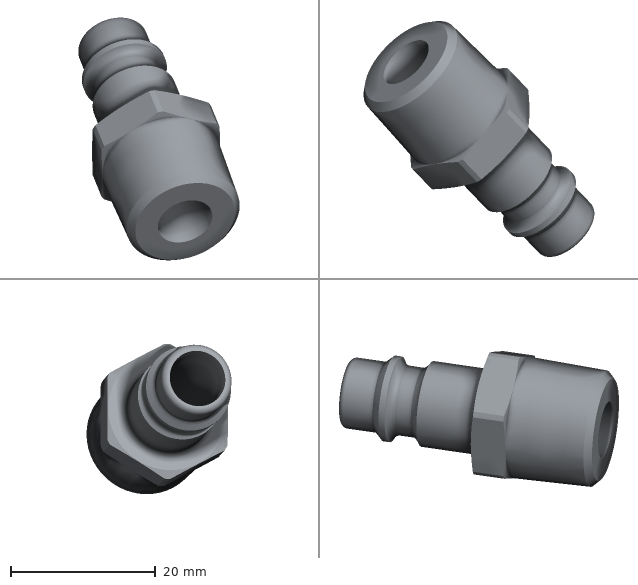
import cadquery as cq
import math

length = 37.0
bore_diameter = 7.85

tip_diameter = 9.9
tip_fillet = 0.8
tip_end = 5.0
collar_diameter = 12.0
collar_start = 6.1
collar_end = 7.0
neck_diameter = 9.75
neck_start = 8.18
neck_end = 10.45
body_start = 11.55
collar_flank_sag = 0.22
body_flank_sag = 0.1

hex_start = 19.98
hex_width = 5.0
across_flats = 17.0
across_corners = 19.15
hex_face_diameter = 16.85
hex_chamfer_angle = 15.0
root_fillet = 0.75

thread_base_diameter = 16.95
thread_taper = 1 / 16
thread_chamfer = 0.95

tip_radius = tip_diameter / 2
collar_radius = collar_diameter / 2
neck_radius = neck_diameter / 2
hex_end = hex_start + hex_width


def hollow_point(start, end, sag):
    """Middle of a flank from start to end, sunk towards the axis by the sag."""
    dx = end[0] - start[0]
    dr = end[1] - start[1]
    chord = math.hypot(dx, dr)
    x = (start[0] + end[0]) / 2 + sag * dr / chord
    r = (start[1] + end[1]) / 2 - sag * dx / chord
    return (x, r)


def revolve_about_axis(profile):
    return profile.close().revolve(360, (0, 0, 0), (1, 0, 0))


def make_plug():
    collar_back = (collar_end, collar_radius)
    neck_front = (neck_start, neck_radius)
    neck_back = (neck_end, neck_radius)
    body_front = (body_start, collar_radius)
    return revolve_about_axis(
        cq.Workplane("XY")
        .lineTo(0, tip_radius - tip_fillet)
        .radiusArc((tip_fillet, tip_radius), tip_fillet)
        .lineTo(tip_end, tip_radius)
        .lineTo(collar_start, collar_radius)
        .lineTo(*collar_back)
        .threePointArc(hollow_point(collar_back, neck_front, collar_flank_sag), neck_front)
        .lineTo(*neck_back)
        .threePointArc(hollow_point(neck_back, body_front, body_flank_sag), body_front)
        .lineTo(hex_start - root_fillet, collar_radius)
        .radiusArc((hex_start, collar_radius + root_fillet), -root_fillet)
        .lineTo(hex_end, collar_radius + root_fillet)
        .lineTo(hex_end, 0)
    )


def make_hexagon():
    sharp_corners = across_flats / math.cos(math.radians(30))
    prism = (
        cq.Workplane("YZ", origin=(hex_start, 0, 0))
        .transformed(rotate=(0, 0, 90))
        .polygon(6, sharp_corners)
        .extrude(hex_width)
    )
    corner_radius = across_corners / 2
    face_radius = hex_face_diameter / 2
    chamfer = (corner_radius - face_radius) * math.tan(math.radians(hex_chamfer_angle))
    envelope = revolve_about_axis(
        cq.Workplane("XY")
        .moveTo(hex_start, 0)
        .lineTo(hex_start, face_radius)
        .lineTo(hex_start + chamfer, corner_radius)
        .lineTo(hex_end - chamfer, corner_radius)
        .lineTo(hex_end, face_radius)
        .lineTo(hex_end, 0)
    )
    return prism.intersect(envelope)


def make_thread_end():
    base_radius = thread_base_diameter / 2
    taper_end = length - thread_chamfer
    end_radius = base_radius - (taper_end - hex_end) * thread_taper / 2
    return revolve_about_axis(
        cq.Workplane("XY")
        .moveTo(hex_end, 0)
        .lineTo(hex_end, base_radius)
        .lineTo(taper_end, end_radius)
        .lineTo(length, end_radius - thread_chamfer)
        .lineTo(length, 0)
    )


bore = cq.Workplane("YZ").circle(bore_diameter / 2).extrude(length)
result = make_plug().union(make_hexagon()).union(make_thread_end()).cut(bore)